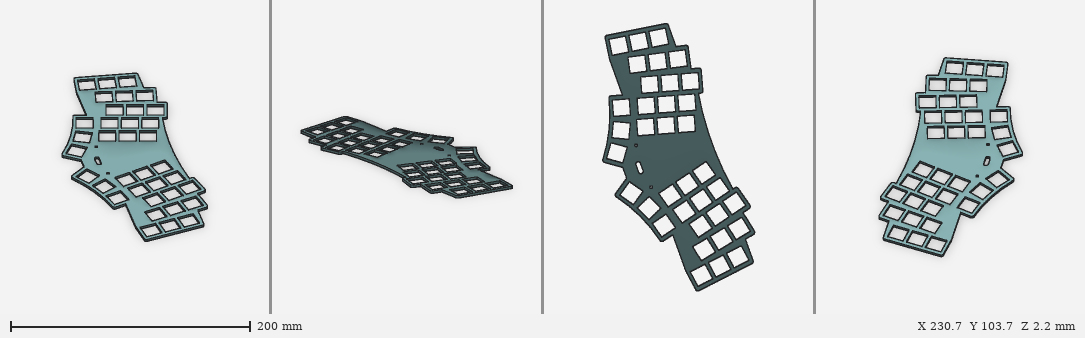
import cadquery as cq
import math


thickness = 2.2
key_hole = 14.0
key_pitch = 17.0
keys_per_column = 3

pinky_top = (-99.0, 27.5, 8)
ring_top = (-76.6, 36.5, 12)
middle_top = (-55.2, 40.0, 15)
index_top = (-39.0, 31.2, 15)
inner_top = (-22.2, 24.7, 15)
columns = [pinky_top, ring_top, middle_top, index_top, inner_top]

thumb_outer = (-53.3, -22.0, 15)
thumb_middle = (-35.0, -28.6, 25)
thumb_inner = (-18.2, -38.3, 35)
thumb_keys = [thumb_outer, thumb_middle, thumb_inner]

side_reach = 10.6
end_reach = 10.0
thumb_arc_reach = 10.2

corner_radius = 2.0

shoulder_y = 38.5
under_y = -17.5
notch_y = -37.9
arc_middle_y = 39.5
arc_end_y = 43.0

screw_diameter = 2.2
screw_x = 19.0
screw_y = -21.0

slot_length = 10.6
slot_width = 4.0
slot_y = -24.7


def on_key(key, along, up):
    """Point at an offset from a key centre, measured in the tilted axes of the key."""
    x, y, tilt = key
    c = math.cos(math.radians(tilt))
    s = math.sin(math.radians(tilt))
    return (x + along * c + up * s, y - along * s + up * c)


def key_in_column(top_key, row):
    """Key a number of rows below the top key of a column."""
    x, y = on_key(top_key, 0, -row * key_pitch)
    return (x, y, top_key[2])


def side_at_height(key, along, height):
    """Point where a line parallel to a key's side reaches a given Y."""
    x, y = on_key(key, along, 0)
    return (x + (height - y) * math.tan(math.radians(key[2])), height)


def end_at_height(key, up, height):
    """Point where a line parallel to a key's top or bottom reaches a given Y."""
    x, y = on_key(key, 0, up)
    return (x - (height - y) / math.tan(math.radians(key[2])), height)


def end_meets_line(key, up, point, heading):
    """Point where a line parallel to a key's top or bottom crosses a line with a heading."""
    x, y = on_key(key, 0, up)
    tilt = math.radians(key[2])
    dx = math.cos(math.radians(heading))
    dy = math.sin(math.radians(heading))
    gap = (x - point[0]) * math.sin(tilt) + (y - point[1]) * math.cos(tilt)
    travel = gap / (dx * math.sin(tilt) + dy * math.cos(tilt))
    return (point[0] + travel * dx, point[1] + travel * dy)


def mirrored(point):
    """Matching point on the other half of the plate."""
    return (-point[0], point[1])


pinky_bottom = key_in_column(pinky_top, keys_per_column - 1)

arc_end = side_at_height(middle_top, side_reach, arc_end_y)
middle_right = on_key(middle_top, side_reach, end_reach)
middle_left = on_key(middle_top, -side_reach, end_reach)
ring_inner = end_meets_line(ring_top, end_reach, middle_left, 90 - middle_top[2])
ring_left = on_key(ring_top, -side_reach, end_reach)
shoulder_inner = side_at_height(ring_top, -side_reach, shoulder_y)
shoulder_outer = side_at_height(pinky_top, -side_reach, shoulder_y)
pinky_corner = on_key(pinky_bottom, -side_reach, -end_reach)
under_outer = end_at_height(pinky_bottom, -end_reach, under_y)
under_inner = side_at_height(thumb_outer, -side_reach, under_y)
thumb_left = on_key(thumb_outer, -side_reach, -end_reach)
thumb_arc_middle = on_key(thumb_middle, 0, -thumb_arc_reach)
thumb_tip = on_key(thumb_inner, side_reach, -end_reach)
notch = side_at_height(thumb_inner, side_reach, notch_y)

finger_edge = [
    arc_end, middle_right, middle_left, ring_inner, ring_left, shoulder_inner, shoulder_outer,
    pinky_corner, under_outer, under_inner, thumb_left,
]
mirrored_finger_edge = [mirrored(point) for point in reversed(finger_edge)]

plate = (
    cq.Workplane("XY")
    .polyline(finger_edge)
    .threePointArc(thumb_arc_middle, thumb_tip)
    .lineTo(*notch)
    .lineTo(*mirrored(notch))
    .lineTo(*mirrored(thumb_tip))
    .threePointArc(mirrored(thumb_arc_middle), mirrored(thumb_left))
    .polyline(mirrored_finger_edge[1:], includeCurrent=True)
    .threePointArc((0, arc_middle_y), arc_end)
    .close()
    .extrude(thickness)
)

rounded_corners = [
    middle_right, middle_left, ring_left, shoulder_outer, pinky_corner, thumb_left, thumb_tip,
]
for corner in rounded_corners:
    for x, y in (corner, mirrored(corner)):
        edge = cq.selectors.NearestToPointSelector((x, y, thickness / 2))
        plate = plate.edges("|Z").edges(edge).fillet(corner_radius)

keys = [key_in_column(top, row) for top in columns for row in range(keys_per_column)] + thumb_keys
for x, y, tilt in keys:
    for side in (1, -1):
        cutter = (
            cq.Workplane("XY")
            .rect(key_hole, key_hole)
            .extrude(thickness)
            .rotate((0, 0, 0), (0, 0, 1), -side * tilt)
            .translate((side * x, y, 0))
        )
        plate = plate.cut(cutter)

screws = cq.Workplane("XY").pushPoints([(-screw_x, screw_y), (screw_x, screw_y)])
plate = plate.cut(screws.circle(screw_diameter / 2).extrude(thickness))
slot = cq.Workplane("XY").center(0, slot_y).slot2D(slot_length, slot_width).extrude(thickness)

result = plate.cut(slot)